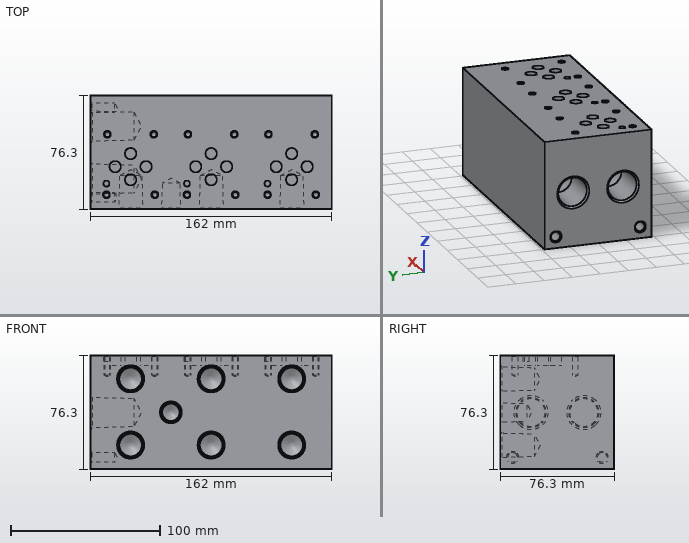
import cadquery as cq
import math

length = 162.0
width = 76.3
height = width

station_count = 3
station_pitch = length / station_count
stations = [(i + 0.5) * station_pitch for i in range(station_count)]

work_port = (18.3, 16.2, 15.0, 22.7)
gauge_port = (14.7, 13.0, 11.7, 17.8)
main_port = (22.8, 20.2, 18.8, 29.1)
mounting_hole = (8.1, 6.5, 6.5, 16.2)
valve_bolt_hole = (4.7, 3.7, 3.7, 13.0)
drill_point_angle = 124.0
mouth_half_angle = 45.0

port_low_z = 16.2
port_high_z = 60.5
gauge_x = station_pitch
gauge_z = height / 2

main_port_spacing = 35.5
main_port_mid_y = width / 2
main_port_z = height / 2
mounting_hole_inset = 8.1

flow_hole_diameter = 7.6
flow_hole_depth = 6.5
flow_centre_y = 28.5
flow_offset_x = 10.4
flow_offset_y = 8.7
front_bolt_y = 9.7
front_bolt_offset_x = 16.2
rear_bolt_y = 50.2
rear_bolt_offset_x = 15.5
pin_hole_diameter = 4.0
pin_hole_depth = 4.0
pin_y = 17.2


def drilled_hole(size, place, direction):
    """Blind straight or tapered hole with a flared mouth and a conical bottom."""
    mouth_diameter, throat_diameter, end_diameter, depth = size
    mouth = mouth_diameter / 2
    throat = throat_diameter / 2
    end = end_diameter / 2
    mouth_depth = (mouth - throat) / math.tan(math.radians(mouth_half_angle))
    point_depth = end / math.tan(math.radians(drill_point_angle / 2))
    profile = [
        (0, 0),
        (mouth, 0),
        (throat, mouth_depth),
        (end, depth),
        (0, depth + point_depth),
    ]
    radial = (0, 0, 1) if direction[2] == 0 else (1, 0, 0)
    axis = cq.Vector(*direction)
    plane = cq.Plane(origin=place, xDir=radial, normal=cq.Vector(*radial).cross(axis).toTuple())
    return cq.Workplane(plane).polyline(profile).close().revolve(360, (0, 0), (0, 1))


def flat_hole(diameter, depth, x, y):
    """Flat-bottomed hole drilled down from the top face."""
    return cq.Workplane(origin=(x, y, height - depth)).circle(diameter / 2).extrude(depth)


def valve_station(x):
    """Holes of one valve station in the top face."""
    bolts = [
        (x + side * offset, y)
        for offset, y in ((front_bolt_offset_x, front_bolt_y), (rear_bolt_offset_x, rear_bolt_y))
        for side in (-1, 1)
    ]
    flows = [
        (x - flow_offset_x, flow_centre_y),
        (x + flow_offset_x, flow_centre_y),
        (x, flow_centre_y - flow_offset_y),
        (x, flow_centre_y + flow_offset_y),
    ]
    holes = [drilled_hole(valve_bolt_hole, (bx, by, height), (0, 0, -1)) for bx, by in bolts]
    holes += [flat_hole(flow_hole_diameter, flow_hole_depth, fx, fy) for fx, fy in flows]
    holes.append(flat_hole(pin_hole_diameter, pin_hole_depth, x - front_bolt_offset_x, pin_y))
    return holes


def front_ports():
    """Work ports of every station and the gauge port between the first two."""
    into_front = (0, 1, 0)
    ports = [
        drilled_hole(work_port, (x, 0, z), into_front)
        for x in stations
        for z in (port_low_z, port_high_z)
    ]
    ports.append(drilled_hole(gauge_port, (gauge_x, 0, gauge_z), into_front))
    return ports


def end_holes():
    """Main ports and mounting holes in the -X end face."""
    into_end = (1, 0, 0)
    holes = []
    for side in (-1, 1):
        main_y = main_port_mid_y + side * main_port_spacing / 2
        holes.append(drilled_hole(main_port, (0, main_y, main_port_z), into_end))
    for y in (mounting_hole_inset, width - mounting_hole_inset):
        holes.append(drilled_hole(mounting_hole, (0, y, mounting_hole_inset), into_end))
    return holes


holes = front_ports() + end_holes()
for station_x in stations:
    holes += valve_station(station_x)

result = cq.Workplane().box(length, width, height, centered=False)
for hole in holes:
    result = result.cut(hole)